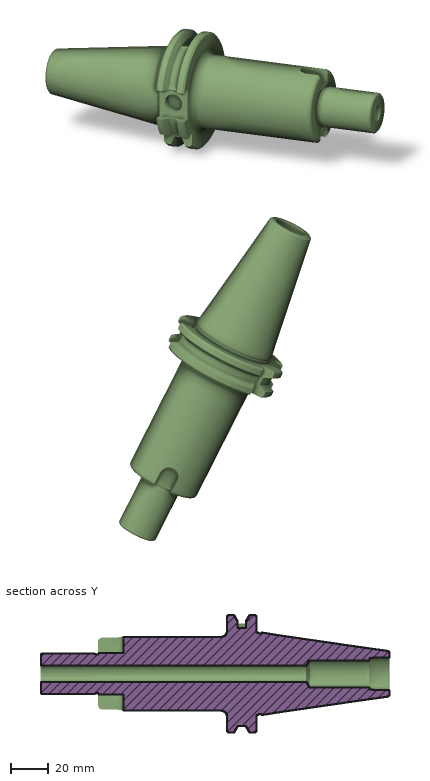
import cadquery as cq
import math


overall_length = 187.4
taper_length = 69.0
taper_large_radius = 22.3
taper_rise = 7 / 24 / 2
taper_small_radius = taper_large_radius - taper_length * taper_rise
taper_end_chamfer = 1.0

relief_depth = 0.5
relief_end = 70.6

flange_start = 71.4
flange_end = 87.5
flange_diameter = 63.5
flange_radius = flange_diameter / 2
flange_chamfer = 1.0
groove_center = 79.5
groove_floor_radius = 28.1
groove_floor_width = 4.1
groove_wall_angle = 30.0
groove_mouth_width = groove_floor_width + 2 * (flange_radius - groove_floor_radius) * math.tan(
    math.radians(groove_wall_angle)
)

drive_slot_width = 16.3
front_slot_floor = 25.0
rear_slot_floor = 22.7
notch_offset = 18.4
chip_hole_diameter = 10.0
chip_hole_depth = 4.7

groove_flat_distance = 23.8
groove_flat_tilt = 15.0

body_diameter = 40.0
body_radius = body_diameter / 2
body_end = 156.5
body_root_fillet = 3.0
body_end_fillet = 2.0
pilot_diameter = 22.0
pilot_radius = pilot_diameter / 2
pilot_chamfer = 0.7
neck_radius = 10.5
neck_length = 1.1
neck_slope_length = 1.1

key_slot_width = 10.5
key_slot_start = 143.2
key_slot_floor = 11.2

through_hole_radius = 4.3
thread_radius = 7.1
thread_depth = 43.1
drill_point_angle = 118.0
counterbore_radius = 8.6
counterbore_depth = 9.2
counterbore_chamfer = 0.5
counterbore_step_radius = 8.5
counterbore_step_depth = 10.9


def make_turned_body():
    """Solid of revolution from the taper to the tip of the pilot."""
    groove_floor_start = groove_center - groove_floor_width / 2
    groove_floor_end = groove_center + groove_floor_width / 2
    groove_mouth_start = groove_center - groove_mouth_width / 2
    groove_mouth_end = groove_center + groove_mouth_width / 2
    chamfer_top_radius = taper_small_radius + taper_end_chamfer * taper_rise

    fillet_diagonal = body_root_fillet * math.sqrt(0.5)
    root_fillet_middle = (
        flange_end + body_root_fillet - fillet_diagonal,
        body_radius + body_root_fillet - fillet_diagonal,
    )
    end_diagonal = body_end_fillet * math.sqrt(0.5)
    end_fillet_middle = (
        body_end - body_end_fillet + end_diagonal,
        body_radius - body_end_fillet + end_diagonal,
    )

    profile = (
        cq.Workplane("XY")
        .moveTo(0, 0)
        .lineTo(0, taper_small_radius - taper_end_chamfer)
        .lineTo(taper_end_chamfer, chamfer_top_radius)
        .lineTo(taper_length, taper_large_radius)
        .lineTo(taper_length, taper_large_radius - relief_depth)
        .lineTo(relief_end - relief_depth, taper_large_radius - relief_depth)
        .lineTo(relief_end, taper_large_radius)
        .lineTo(flange_start, taper_large_radius)
        .lineTo(flange_start, flange_radius - flange_chamfer)
        .lineTo(flange_start + flange_chamfer, flange_radius)
        .lineTo(groove_mouth_start, flange_radius)
        .lineTo(groove_floor_start, groove_floor_radius)
        .lineTo(groove_floor_end, groove_floor_radius)
        .lineTo(groove_mouth_end, flange_radius)
        .lineTo(flange_end - flange_chamfer, flange_radius)
        .lineTo(flange_end, flange_radius - flange_chamfer)
        .lineTo(flange_end, body_radius + body_root_fillet)
        .threePointArc(root_fillet_middle, (flange_end + body_root_fillet, body_radius))
        .lineTo(body_end - body_end_fillet, body_radius)
        .threePointArc(end_fillet_middle, (body_end, body_radius - body_end_fillet))
        .lineTo(body_end, neck_radius)
        .lineTo(body_end + neck_length, neck_radius)
        .lineTo(body_end + neck_length + neck_slope_length, pilot_radius)
        .lineTo(overall_length - pilot_chamfer, pilot_radius)
        .lineTo(overall_length, pilot_radius - pilot_chamfer)
        .lineTo(overall_length, 0)
        .close()
    )
    return profile.revolve(360, (0, 0, 0), (1, 0, 0))


def make_axial_bore():
    """Stepped bore from the taper end, running on as a through hole."""
    drill_point_length = (thread_radius - through_hole_radius) / math.tan(
        math.radians(drill_point_angle / 2)
    )
    profile = (
        cq.Workplane("XY")
        .moveTo(0, 0)
        .lineTo(0, counterbore_radius + counterbore_chamfer)
        .lineTo(counterbore_chamfer, counterbore_radius)
        .lineTo(counterbore_depth, counterbore_radius)
        .lineTo(counterbore_depth, counterbore_step_radius)
        .lineTo(counterbore_step_depth, counterbore_step_radius)
        .lineTo(counterbore_step_depth, thread_radius)
        .lineTo(thread_depth, thread_radius)
        .lineTo(thread_depth + drill_point_length, through_hole_radius)
        .lineTo(overall_length, through_hole_radius)
        .lineTo(overall_length, 0)
        .close()
    )
    return profile.revolve(360, (0, 0, 0), (1, 0, 0))


def make_box(x_range, y_range, z_range):
    """Box between the given limits on each axis."""
    sizes = [high - low for low, high in (x_range, y_range, z_range)]
    corner = (x_range[0], y_range[0], z_range[0])
    return cq.Workplane("XY").box(*sizes, centered=False).translate(corner)


def make_flange_cuts():
    """Drive slots on the -Y and +Y sides and the notch in the -Y, -Z corner."""
    flange_span = (flange_start, flange_end)
    slot_span = (-drive_slot_width / 2, drive_slot_width / 2)
    front_slot = make_box(flange_span, (-flange_radius, -front_slot_floor), slot_span)
    rear_slot = make_box(flange_span, (rear_slot_floor, flange_radius), slot_span)
    notch_span = (-flange_radius, -notch_offset)
    notch = make_box(flange_span, notch_span, notch_span)
    return front_slot.union(rear_slot).union(notch)


def make_chip_hole():
    """Blind hole in the floor of the -Y drive slot."""
    return (
        cq.Workplane("XZ", origin=(groove_center, -front_slot_floor, 0))
        .circle(chip_hole_diameter / 2)
        .extrude(-chip_hole_depth)
    )


def make_groove_flat():
    """Cutter over the groove floor, with its flat leaning towards +Y."""
    half_width = groove_floor_width / 2
    cutter = make_box(
        (groove_center - half_width, groove_center + half_width),
        (-flange_radius, flange_radius),
        (groove_flat_distance, flange_radius),
    )
    return cutter.rotate((0, 0, 0), (1, 0, 0), -groove_flat_tilt)


def make_key_slot(side):
    """Round-ended key slot, open at the body end, on the +Z (1) or -Z (-1) side."""
    half_width = key_slot_width / 2
    arc_end = key_slot_start + half_width
    return (
        cq.Workplane("XY", origin=(0, 0, side * key_slot_floor))
        .moveTo(body_end, -half_width)
        .lineTo(arc_end, -half_width)
        .threePointArc((key_slot_start, 0), (arc_end, half_width))
        .lineTo(body_end, half_width)
        .close()
        .extrude(side * body_radius)
    )


result = make_turned_body().cut(make_axial_bore())
result = result.cut(make_flange_cuts()).cut(make_chip_hole()).cut(make_groove_flat())
for key_side in (1, -1):
    result = result.cut(make_key_slot(key_side))